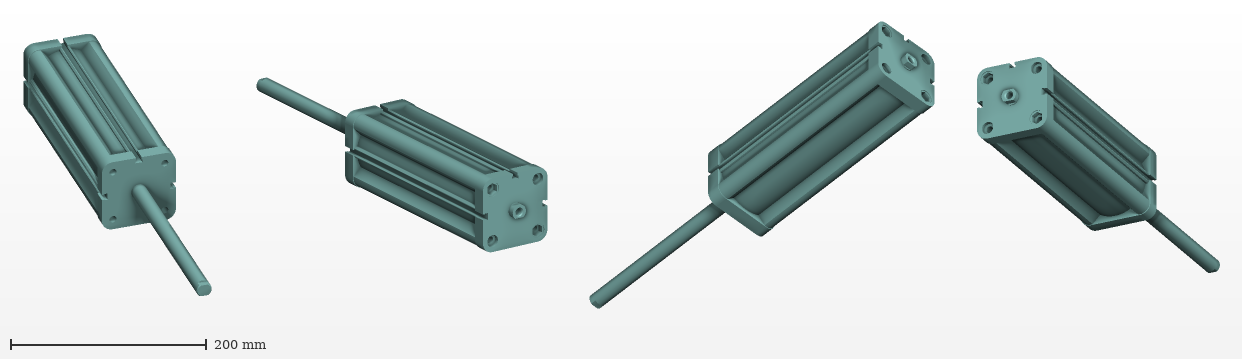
import cadquery as cq
import math

ROD_LENGTH = 466.0
REAR_CAP_START = 7.5
CAP_LENGTH = 14.5
TUBE_LENGTH = 221.5
TUBE_START = REAR_CAP_START + CAP_LENGTH
FRONT_CAP_START = TUBE_START + TUBE_LENGTH

CAP_WIDTH = 79.5
CAP_CORNER_RADIUS = 11.5
HALF_CAP = CAP_WIDTH / 2

BOLT_OFFSET = 28.0
BOLT_HOLE_RADIUS = 3.5
ROUND_RECESS_RADIUS = 6.5
ROUND_RECESS_DEPTH = 4.5
COLLAR_RECESS_DIAMETER = 16.0
COLLAR_RECESS_DEPTH = 1.0
HEX_ACROSS_FLATS = 11.5
HEX_RECESS_DEPTH = 7.0

SLOT_ANGLES = (0, 90, -90)
CAP_SLOT_MOUTH = 6.0
TUBE_SLOT_MOUTH = 5.5
SLOT_WIDTH = 7.5
SLOT_DEPTH = 6.0
SLOT_LIP = 3.0

BARREL_RADIUS = 35.0
POST_RADIUS = 11.0
POST_WALL_START = 26.0
RAIL_BASE_WIDTH = 12.0
RAIL_TOP = 38.0
RAIL_CHAMFER = 1.65
MOUTH_CHAMFER = 1.0

ROD_DIAMETER = 16.5
FLATS_WIDTH = 12.5
FLATS_LENGTH = 6.5
ROD_END_CHAMFER = 1.0
ROD_HOLE_DIAMETER = 7.5
ROD_HOLE_MOUTH_DIAMETER = 10.0
ROD_HOLE_DEPTH = 14.0
DRILL_TIP_ANGLE = 118.0


def section_plane(x):
    """Plane across the cylinder axis: local x runs along Y, local y along Z, extruding towards +X."""
    return cq.Workplane("YZ", origin=(x, 0, 0))


def turned(body, angle):
    return body.rotate((0, 0, 0), (1, 0, 0), angle)


def bar(x, radius, length, y=0.0, z=0.0):
    return section_plane(x).center(y, z).circle(radius).extrude(length)


def corner_points():
    return [(y, z) for y in (-BOLT_OFFSET, BOLT_OFFSET) for z in (-BOLT_OFFSET, BOLT_OFFSET)]


def bolt_holes(x, length):
    return section_plane(x).pushPoints(corner_points()).circle(BOLT_HOLE_RADIUS).extrude(length)


def top_slot(x, length, mouth_width):
    """T-slot cutter for the top side: a narrow mouth over a wider undercut."""
    floor = HALF_CAP - SLOT_DEPTH
    lip_bottom = HALF_CAP - SLOT_LIP
    mouth = (
        section_plane(x)
        .center(0, (floor + HALF_CAP) / 2)
        .rect(mouth_width, SLOT_DEPTH)
        .extrude(length)
    )
    undercut = (
        section_plane(x)
        .center(0, (floor + lip_bottom) / 2)
        .rect(SLOT_WIDTH, lip_bottom - floor)
        .extrude(length)
    )
    return mouth.union(undercut)


def cut_slots(body, x, length, mouth_width):
    for angle in SLOT_ANGLES:
        body = body.cut(turned(top_slot(x, length, mouth_width), angle))
    return body


def make_cap(x):
    cap = section_plane(x).rect(CAP_WIDTH, CAP_WIDTH).extrude(CAP_LENGTH)
    cap = cap.edges("|X").fillet(CAP_CORNER_RADIUS)
    cap = cap.cut(bolt_holes(x, CAP_LENGTH)).cut(bar(x, ROD_DIAMETER / 2, CAP_LENGTH))
    return cut_slots(cap, x, CAP_LENGTH, CAP_SLOT_MOUTH)


def cut_bolt_recesses(cap, x):
    """Round recesses on one diagonal pair of bolt holes, collared hexagon recesses on the other."""
    for y, z in corner_points():
        if y * z < 0:
            cap = cap.cut(bar(x, ROUND_RECESS_RADIUS, ROUND_RECESS_DEPTH, y, z))
        else:
            hexagon = (
                section_plane(x)
                .center(y, z)
                .transformed(rotate=(0, 0, 90))
                .polygon(6, HEX_ACROSS_FLATS / math.cos(math.pi / 6))
                .extrude(HEX_RECESS_DEPTH)
            )
            cap = cap.cut(bar(x, COLLAR_RECESS_DIAMETER / 2, COLLAR_RECESS_DEPTH, y, z)).cut(hexagon)
    return cap


def make_post():
    """Corner post: round outside, with two 45-degree walls running down into the barrel."""
    wall_height = BOLT_OFFSET + math.sqrt(POST_RADIUS**2 - (BOLT_OFFSET - POST_WALL_START) ** 2)
    root = wall_height - POST_WALL_START
    outer_tip = BOLT_OFFSET + POST_RADIUS / math.sqrt(2)
    return (
        section_plane(TUBE_START)
        .moveTo(0, root)
        .lineTo(POST_WALL_START, wall_height)
        .threePointArc((outer_tip, outer_tip), (wall_height, POST_WALL_START))
        .lineTo(root, 0)
        .lineTo(0, 0)
        .close()
        .extrude(TUBE_LENGTH)
    )


def make_rail():
    """Rail on top of the barrel that carries a slot, chamfered along both outer edges."""
    half_base = RAIL_BASE_WIDTH / 2
    return (
        section_plane(TUBE_START)
        .moveTo(-half_base, 0)
        .lineTo(-half_base, RAIL_TOP - RAIL_CHAMFER)
        .lineTo(-half_base + RAIL_CHAMFER, RAIL_TOP)
        .lineTo(half_base - RAIL_CHAMFER, RAIL_TOP)
        .lineTo(half_base, RAIL_TOP - RAIL_CHAMFER)
        .lineTo(half_base, 0)
        .close()
        .extrude(TUBE_LENGTH)
    )


def mouth_flare():
    """Wedge that chamfers both lips of a tube slot at the rail top."""
    half_mouth = TUBE_SLOT_MOUTH / 2
    return (
        section_plane(TUBE_START)
        .moveTo(-half_mouth, RAIL_TOP - MOUTH_CHAMFER)
        .lineTo(half_mouth, RAIL_TOP - MOUTH_CHAMFER)
        .lineTo(half_mouth + MOUTH_CHAMFER, RAIL_TOP)
        .lineTo(-half_mouth - MOUTH_CHAMFER, RAIL_TOP)
        .close()
        .extrude(TUBE_LENGTH)
    )


def make_tube():
    tube = bar(TUBE_START, BARREL_RADIUS, TUBE_LENGTH)
    for quarter in range(4):
        tube = tube.union(turned(make_post(), 90 * quarter))
    for angle in SLOT_ANGLES:
        tube = tube.union(turned(make_rail(), angle))
    tube = cut_slots(tube, TUBE_START, TUBE_LENGTH, TUBE_SLOT_MOUTH)
    for angle in SLOT_ANGLES:
        tube = tube.cut(turned(mouth_flare(), angle))
    return tube.cut(bolt_holes(TUBE_START, TUBE_LENGTH)).cut(bar(TUBE_START, ROD_DIAMETER / 2, TUBE_LENGTH))


def cut_wrench_flats(rod, x):
    """Two flats, facing up and down, over one end of the rod."""
    band = section_plane(x).rect(2 * ROD_DIAMETER, 2 * ROD_DIAMETER).extrude(FLATS_LENGTH)
    kept = section_plane(x).rect(2 * ROD_DIAMETER, FLATS_WIDTH).extrude(FLATS_LENGTH)
    return rod.cut(band.cut(kept))


def rod_hole():
    """Blind drilled hole with a chamfered mouth and a conical end."""
    mouth_depth = (ROD_HOLE_MOUTH_DIAMETER - ROD_HOLE_DIAMETER) / 2
    tip_length = (ROD_HOLE_DIAMETER / 2) / math.tan(math.radians(DRILL_TIP_ANGLE / 2))
    return (
        cq.Workplane("XY")
        .lineTo(0, ROD_HOLE_MOUTH_DIAMETER / 2)
        .lineTo(mouth_depth, ROD_HOLE_DIAMETER / 2)
        .lineTo(ROD_HOLE_DEPTH, ROD_HOLE_DIAMETER / 2)
        .lineTo(ROD_HOLE_DEPTH + tip_length, 0)
        .close()
        .revolve(360, (0, 0, 0), (1, 0, 0))
    )


def make_rod():
    rod = bar(0, ROD_DIAMETER / 2, ROD_LENGTH).faces(">X").chamfer(ROD_END_CHAMFER)
    for x in (0, ROD_LENGTH - FLATS_LENGTH):
        rod = cut_wrench_flats(rod, x)
    return rod.cut(rod_hole())


rear_cap = cut_bolt_recesses(make_cap(REAR_CAP_START), REAR_CAP_START)
front_cap = make_cap(FRONT_CAP_START)
tube = make_tube()
rod = make_rod()

result = cq.Compound.makeCompound([rear_cap.val(), front_cap.val(), tube.val(), rod.val()])